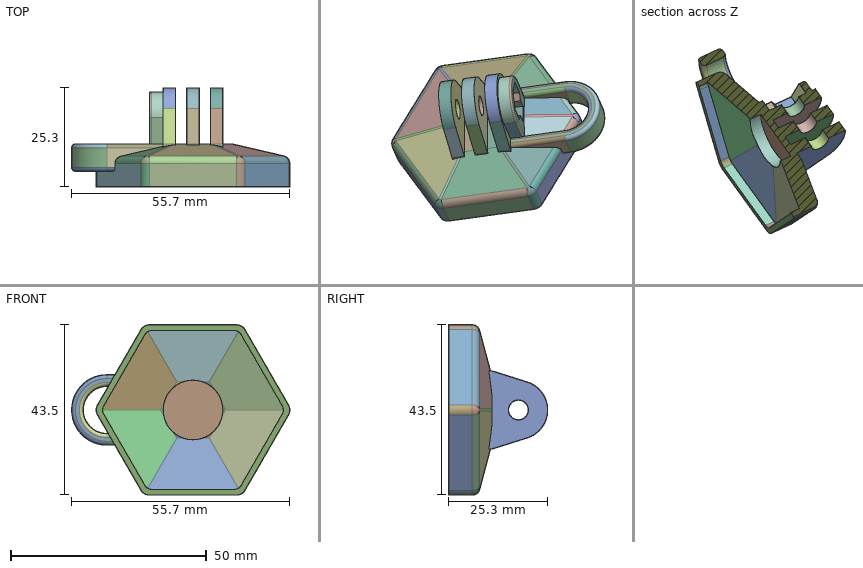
import cadquery as cq
import math

BODY_FLATS = 43.5
WALL_HEIGHT = 7.5
ROOF_RISE = 3.5
ROOF_SLOPE = 15.0
CORNER_RADIUS = 2.5
ROOF_EDGE_RADIUS = 2.0
BACK_Y = WALL_HEIGHT + ROOF_RISE

RIM_WIDTH = 1.5
CAVITY_FLATS = BODY_FLATS - 2 * RIM_WIDTH
CAVITY_WALL_HEIGHT = 2.5
CAVITY_CORNER_RADIUS = 2.0
CAVITY_DEPTH = CAVITY_WALL_HEIGHT + ROOF_RISE
RECESS_DIAMETER = 15.2
RECESS_DEPTH = 3.1

LOOP_OUTER_RADIUS = 9.0
LOOP_INNER_RADIUS = 6.0
LOOP_CENTER_X = -21.98
LOOP_THICKNESS = 7.0
LOOP_EDGE_RADIUS = 1.0

PRONG_RADIUS = 7.5
OVERALL_DEPTH = 25.27
PIVOT_Y = OVERALL_DEPTH - PRONG_RADIUS
PIVOT_DIAMETER = 5.0
PRONG_BASE_HALF_WIDTH = 10.0
PRONG_SINK = 2.0
MIDDLE_PRONG_THICKNESS = 3.3
OUTER_PRONG_THICKNESS = 3.2
PRONG_GAP = 2.8
OUTER_PRONG_INNER_X = MIDDLE_PRONG_THICKNESS / 2 + PRONG_GAP
OUTER_PRONG_OUTER_X = OUTER_PRONG_INNER_X + OUTER_PRONG_THICKNESS

BOSS_RADIUS = 6.5
BOSS_HEIGHT = 3.5
BOSS_EDGE_RADIUS = 0.5
NUT_FLATS = 8.2
NUT_DEPTH = 3.5
NUT_SLOT_WIDTH = 4.5
NUT_SLOT_REACH = 6.0

BOSS_FACE_X = -OUTER_PRONG_OUTER_X - BOSS_HEIGHT
SUNK_Y = BACK_Y - PRONG_SINK


def facing_back(y):
    """Workplane at height y whose normal is +Y; local x is X, local y is -Z."""
    return cq.Workplane("XZ", origin=(0, y, 0)).transformed(rotate=(180, 0, 0))


def across_x(x):
    """Workplane at position x whose normal is +X; local x is Y, local y is Z."""
    return cq.Workplane("YZ", origin=(x, 0, 0))


def corner_diameter(flats):
    return flats / math.cos(math.pi / 6)


def roofed_hexagon(flats, wall_height):
    """Hexagonal prism closed by a shallow truncated pyramid."""
    diameter = corner_diameter(flats)
    prism = facing_back(0).polygon(6, diameter).extrude(wall_height)
    roof = facing_back(wall_height).polygon(6, diameter).extrude(ROOF_RISE, taper=90 - ROOF_SLOPE)
    return prism.union(roof)


def make_body():
    body = roofed_hexagon(BODY_FLATS, WALL_HEIGHT)
    eave_edges = body.faces("#Y").edges(">Y")
    body = eave_edges.fillet(ROOF_EDGE_RADIUS)
    return body.edges("not(#Y)").fillet(CORNER_RADIUS)


def make_cavity():
    cavity = roofed_hexagon(CAVITY_FLATS, CAVITY_WALL_HEIGHT)
    rounded = (
        facing_back(0)
        .polygon(6, corner_diameter(CAVITY_FLATS))
        .extrude(CAVITY_DEPTH)
        .edges("|Y")
        .fillet(CAVITY_CORNER_RADIUS)
    )
    recess = facing_back(0).circle(RECESS_DIAMETER / 2).extrude(CAVITY_DEPTH + RECESS_DEPTH)
    return cavity.intersect(rounded).union(recess)


def u_solid(plane, radius, center_x, leg, height):
    """Round end towards -X with straight legs running towards +X."""
    return (
        plane.moveTo(center_x + leg, radius)
        .lineTo(center_x, radius)
        .threePointArc((center_x - radius, 0), (center_x, -radius))
        .lineTo(center_x + leg, -radius)
        .close()
        .extrude(height)
    )


def make_loop():
    leg = -OUTER_PRONG_INNER_X - OUTER_PRONG_THICKNESS / 2 - LOOP_CENTER_X
    bottom = BACK_Y - LOOP_THICKNESS
    outer = u_solid(facing_back(bottom), LOOP_OUTER_RADIUS, LOOP_CENTER_X, leg, LOOP_THICKNESS)
    inner = u_solid(facing_back(bottom), LOOP_INNER_RADIUS, LOOP_CENTER_X, leg, LOOP_THICKNESS)
    loop = outer.cut(inner)
    return loop.faces("<Y or >Y").edges("not(|Z)").fillet(LOOP_EDGE_RADIUS)


def make_prong(start_x, thickness):
    """Plate with a round end and tangent sides that widen to a straight foot sunk in the roof."""
    base_rise = PIVOT_Y - BACK_Y
    base_distance = math.hypot(PRONG_BASE_HALF_WIDTH, base_rise)
    tangent_angle = math.acos(PRONG_RADIUS / base_distance) - math.atan2(base_rise, PRONG_BASE_HALF_WIDTH)
    tangent_y = PIVOT_Y + PRONG_RADIUS * math.sin(tangent_angle)
    tangent_z = PRONG_RADIUS * math.cos(tangent_angle)
    return (
        across_x(start_x)
        .moveTo(SUNK_Y, PRONG_BASE_HALF_WIDTH)
        .lineTo(BACK_Y, PRONG_BASE_HALF_WIDTH)
        .lineTo(tangent_y, tangent_z)
        .threePointArc((OVERALL_DEPTH, 0), (tangent_y, -tangent_z))
        .lineTo(BACK_Y, -PRONG_BASE_HALF_WIDTH)
        .lineTo(SUNK_Y, -PRONG_BASE_HALF_WIDTH)
        .close()
        .extrude(thickness)
    )


def make_prongs():
    starts = {
        -OUTER_PRONG_OUTER_X: OUTER_PRONG_THICKNESS,
        -MIDDLE_PRONG_THICKNESS / 2: MIDDLE_PRONG_THICKNESS,
        OUTER_PRONG_INNER_X: OUTER_PRONG_THICKNESS,
    }
    prongs = cq.Workplane()
    for start_x, thickness in starts.items():
        prongs = prongs.add(make_prong(start_x, thickness))
    return prongs.combine()


def make_boss():
    boss = (
        across_x(BOSS_FACE_X)
        .moveTo(SUNK_Y, BOSS_RADIUS)
        .lineTo(PIVOT_Y, BOSS_RADIUS)
        .threePointArc((PIVOT_Y + BOSS_RADIUS, 0), (PIVOT_Y, -BOSS_RADIUS))
        .lineTo(SUNK_Y, -BOSS_RADIUS)
        .close()
        .extrude(BOSS_HEIGHT)
    )
    return boss.faces("<X").edges("not(|Z)").fillet(BOSS_EDGE_RADIUS)


def make_nut_pocket():
    """Hexagonal nut seat with a slot running from it towards the body."""
    seat = (
        across_x(BOSS_FACE_X)
        .center(PIVOT_Y, 0)
        .polygon(6, corner_diameter(NUT_FLATS))
        .extrude(NUT_DEPTH)
    )
    slot = (
        across_x(BOSS_FACE_X)
        .center(PIVOT_Y - NUT_SLOT_REACH / 2, 0)
        .rect(NUT_SLOT_REACH, NUT_SLOT_WIDTH)
        .extrude(NUT_DEPTH)
    )
    return seat.union(slot)


def make_pivot_hole():
    length = OUTER_PRONG_OUTER_X - BOSS_FACE_X
    return across_x(BOSS_FACE_X).center(PIVOT_Y, 0).circle(PIVOT_DIAMETER / 2).extrude(length)


result = (
    make_body()
    .union(make_loop())
    .union(make_prongs())
    .union(make_boss())
    .cut(make_cavity())
    .cut(make_nut_pocket())
    .cut(make_pivot_hole())
)